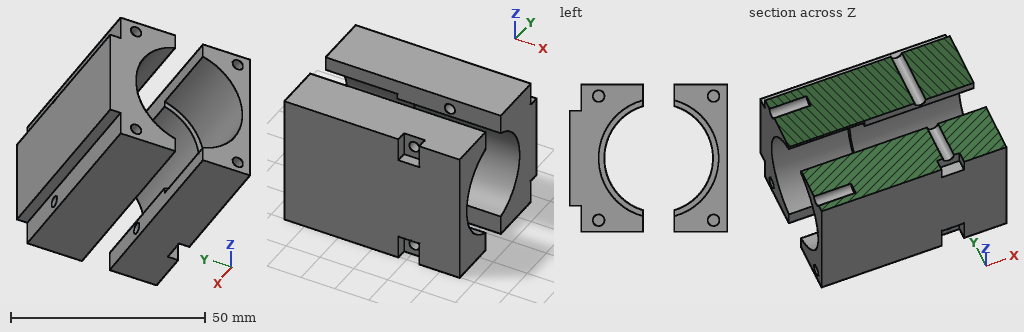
import cadquery as cq

length = 51.75
height = 38.0
gap = 8.0
clamp_depth = 13.7
base_depth = 15.95
flange_depth = 3.0
flange_height = 24.55

bore_radius = 13.95
counterbore_radius = 15.45
counterbore_depth = 21.2

hole_diameter = 3.0
end_hole_depth = 10.35
end_hole_z = 16.0
clamp_end_hole_inset = 3.55
base_end_hole_inset = 4.5

bolt_x = 36.75
bolt_z = 15.75
pocket_width = 6.15
pocket_height = 6.75
pocket_depth = 3.0

mating_y = gap / 2
clamp_outer_y = -mating_y - clamp_depth
base_outer_y = mating_y + base_depth


def box_between(x_range, y_range, z_range):
    """Box filling the given (low, high) ranges along X, Y and Z."""
    low, high = zip(x_range, y_range, z_range)
    sizes = [b - a for a, b in zip(low, high)]
    return cq.Workplane("XY").box(*sizes, centered=False).translate(low)


def half_block(y_range):
    """Full-length, full-height block filling the given Y range."""
    return box_between((0, length), y_range, (-height / 2, height / 2))


def stepped_bore():
    """Through bore with a wider counterbore from the -X end."""
    bore = cq.Workplane("YZ").circle(bore_radius).extrude(length)
    counterbore = cq.Workplane("YZ").circle(counterbore_radius).extrude(counterbore_depth)
    return bore.union(counterbore)


def end_holes(hole_y):
    """Upper and lower blind holes entering from the -X end face."""
    centres = [(hole_y, -end_hole_z), (hole_y, end_hole_z)]
    return cq.Workplane("YZ").pushPoints(centres).circle(hole_diameter / 2).extrude(end_hole_depth)


def bolt_holes():
    """Upper and lower holes along Y, long enough to pass through both halves."""
    centres = [(bolt_x, -bolt_z), (bolt_x, bolt_z)]
    drill = cq.Workplane("XZ", origin=(0, base_outer_y, 0))
    return drill.pushPoints(centres).circle(hole_diameter / 2).extrude(base_outer_y - clamp_outer_y)


def bolt_head_pockets():
    """Corner pockets around the bolt holes, open to the outer face and to the top or bottom."""
    x_range = (bolt_x - pocket_width / 2, bolt_x + pocket_width / 2)
    y_range = (clamp_outer_y, clamp_outer_y + pocket_depth)
    upper = box_between(x_range, y_range, (height / 2 - pocket_height, height / 2))
    return upper.union(upper.mirror("XY"))


def make_clamp_half():
    """Half on the -Y side, with pockets for the bolt heads."""
    body = half_block((clamp_outer_y, -mating_y))
    body = body.cut(stepped_bore()).cut(bolt_holes()).cut(bolt_head_pockets())
    return body.cut(end_holes(clamp_outer_y + clamp_end_hole_inset))


def make_base_half():
    """Half on the +Y side, with a narrower raised flange on its outer face."""
    body = half_block((mating_y, base_outer_y))
    flange = box_between(
        (0, length),
        (base_outer_y, base_outer_y + flange_depth),
        (-flange_height / 2, flange_height / 2),
    )
    body = body.union(flange).cut(stepped_bore()).cut(bolt_holes())
    return body.cut(end_holes(base_outer_y - base_end_hole_inset))


clamp_half = make_clamp_half()
base_half = make_base_half()

result = cq.Compound.makeCompound([clamp_half.val(), base_half.val()])